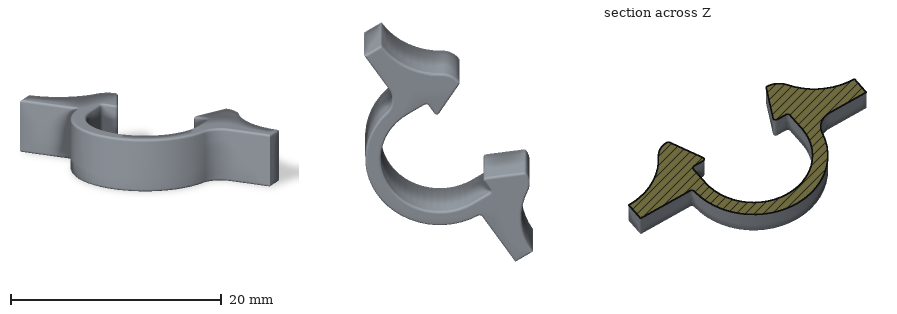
import cadquery as cq
import math

length = 26.2
thickness = 5.2
half_length = length / 2

outer_radius = 7.07
inner_radius = 5.58

arm_height = 2.0
crest_height = 6.03
crest_x = 5.65
crest_arc_x = 5.8
crest_radius = 2.0
lip_height = 2.2
lip_x = 3.88

corner_radius = 0.25
rim_radius = 0.24
right_root_radius = 2.0
left_root_radius = 0.25

crest_arc_y = crest_height - crest_radius
flank_run = half_length - crest_arc_x
flank_drop = crest_arc_y - arm_height
flank_radius = (flank_run**2 + flank_drop**2 - crest_radius**2) / (2 * (crest_radius + flank_drop))
flank_center_y = arm_height + flank_radius
flank_angle = math.atan2(flank_run, flank_center_y - crest_arc_y)


def point_on_arc(center_x, center_y, radius, angle):
    """Point on a circle, with the angle measured from +Y toward +X."""
    return center_x + radius * math.sin(angle), center_y + radius * math.cos(angle)


def root_points(radius):
    """Start, middle and end of the right-hand fillet between the ring and the arm underside."""
    center_x = math.sqrt((outer_radius + radius) ** 2 - radius**2)
    ring_angle = math.atan2(-center_x, radius)
    start = point_on_arc(center_x, -radius, radius, ring_angle)
    middle = point_on_arc(center_x, -radius, radius, ring_angle / 2)
    return start, middle, (center_x, 0)


def mirrored(point):
    return -point[0], point[1]


def clip_profile():
    crest_end = point_on_arc(crest_arc_x, crest_arc_y, crest_radius, flank_angle)
    crest_middle = point_on_arc(crest_arc_x, crest_arc_y, crest_radius, flank_angle / 2)
    flank_middle = point_on_arc(half_length, flank_center_y, flank_radius, math.pi + flank_angle / 2)
    arm_tip = (half_length, arm_height)
    arm_corner = (half_length, 0)
    crest_start = (crest_arc_x, crest_height)
    crest_corner = (crest_x, crest_height)
    lip_tip = (lip_x, lip_height)
    lip_root = (inner_radius, lip_height)
    right_start, right_middle, right_end = root_points(right_root_radius)
    left_start, left_middle, left_end = map(mirrored, root_points(left_root_radius))

    return (
        cq.Workplane("XY")
        .moveTo(inner_radius, 0)
        .lineTo(*lip_root)
        .lineTo(*lip_tip)
        .lineTo(*crest_corner)
        .lineTo(*crest_start)
        .threePointArc(crest_middle, crest_end)
        .threePointArc(flank_middle, arm_tip)
        .lineTo(*arm_corner)
        .lineTo(*right_end)
        .threePointArc(right_middle, right_start)
        .threePointArc((0, -outer_radius), left_start)
        .threePointArc(left_middle, left_end)
        .lineTo(*mirrored(arm_corner))
        .lineTo(*mirrored(arm_tip))
        .threePointArc(mirrored(flank_middle), mirrored(crest_end))
        .threePointArc(mirrored(crest_middle), mirrored(crest_start))
        .lineTo(*mirrored(crest_corner))
        .lineTo(*mirrored(lip_tip))
        .lineTo(*mirrored(lip_root))
        .lineTo(-inner_radius, 0)
        .threePointArc((0, -inner_radius), (inner_radius, 0))
        .close()
    )


def corner_edges(body):
    """Upright edges at the crests, lip tips and lip roots."""
    box_depth = 2 * thickness
    half_box = 0.03
    edges = body.edges("|Z")
    picked = None
    for x, y in ((crest_x, crest_height), (lip_x, lip_height), (inner_radius, lip_height)):
        for side in (-1, 1):
            low = (side * x - half_box, y - half_box, -box_depth)
            high = (side * x + half_box, y + half_box, box_depth)
            edge = edges.edges(cq.selectors.BoxSelector(low, high))
            picked = edge if picked is None else picked.add(edge)
    return picked


clip = clip_profile().extrude(thickness / 2, both=True)
clip = corner_edges(clip).fillet(corner_radius)
result = clip.faces("<Z or >Z").edges().fillet(rim_radius)